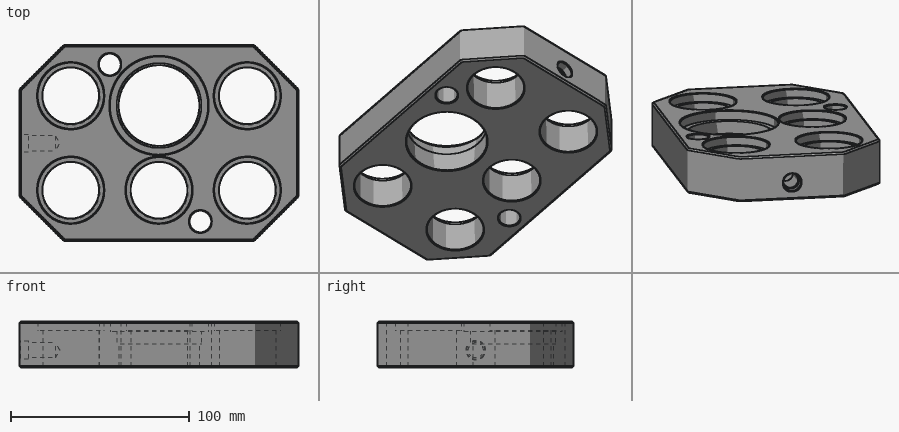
import cadquery as cq
import math

LENGTH = 156.5
WIDTH = 110.0
HEIGHT = 25.8
CORNER_CUT = 25.0
CORNER_RADIUS = 2.8
EDGE_CHAMFER = 1.0
RIM_CHAMFER = 0.5

COLUMN_PITCH = 49.5
ROW_OFFSET = 26.5
SEAT_DIAMETER = 37.0
SEAT_DEPTH = 5.0
BORE_DIAMETER = 31.6

LARGE_OFFSET = 21.0
LARGE_SEAT_DIAMETER = 55.0
LARGE_SEAT_DEPTH = 5.5
LARGE_STEP_DIAMETER = 47.5
LARGE_STEP_DEPTH = 12.5
LARGE_BORE_DIAMETER = 45.0

PIN_DIAMETER = 12.0
PIN_POSITIONS = [(-27.5, 44.0), (23.2, -44.0)]

SIDE_HOLE_HEIGHT = 9.9
SIDE_MOUTH_DIAMETER = 11.0
SIDE_ENTRY_DIAMETER = 10.0
SIDE_ENTRY_DEPTH = 5.0
SIDE_DRILL_DIAMETER = 8.5
SIDE_DRILL_DEPTH = 20.0
DRILL_POINT_ANGLE = 118.0


def make_plate():
    """Octagonal plate with rounded vertical edges and bevelled faces."""
    plate = cq.Workplane("XY").box(LENGTH, WIDTH, HEIGHT, centered=(True, True, False))
    plate = plate.edges("|Z").chamfer(CORNER_CUT)
    plate = plate.edges("|Z").fillet(CORNER_RADIUS)
    return plate.faces("<Z or >Z").edges().chamfer(EDGE_CHAMFER)


def make_stepped_cutter(x, y, steps):
    """Vertical cutter from (diameter, bottom Z) steps, widest first, with both mouths bevelled."""
    top_mouth_radius = steps[0][0] / 2 + RIM_CHAMFER
    bottom_mouth_radius = steps[-1][0] / 2 + RIM_CHAMFER
    profile = cq.Workplane("XZ").moveTo(0, HEIGHT).lineTo(top_mouth_radius, HEIGHT)
    top = HEIGHT - RIM_CHAMFER
    for diameter, bottom in steps:
        profile = profile.lineTo(diameter / 2, top).lineTo(diameter / 2, bottom)
        top = bottom
    profile = profile.lineTo(bottom_mouth_radius, 0).lineTo(0, 0).close()
    cutter = profile.revolve(360, (0, 0, 0), (0, 1, 0))
    return cutter.translate((x, y, 0))


def make_side_cutter():
    """Blind drilled hole along +X with a wider, bevelled entry and a conical end."""
    face = -LENGTH / 2
    mouth_radius = SIDE_MOUTH_DIAMETER / 2
    entry_radius = SIDE_ENTRY_DIAMETER / 2
    drill_radius = SIDE_DRILL_DIAMETER / 2
    drill_end = face + SIDE_DRILL_DEPTH
    point_length = drill_radius / math.tan(math.radians(DRILL_POINT_ANGLE / 2))
    profile = (
        cq.Workplane("XZ")
        .moveTo(face, 0)
        .lineTo(face, mouth_radius)
        .lineTo(face + mouth_radius - entry_radius, entry_radius)
        .lineTo(face + SIDE_ENTRY_DEPTH, entry_radius)
        .lineTo(face + SIDE_ENTRY_DEPTH, drill_radius)
        .lineTo(drill_end, drill_radius)
        .lineTo(drill_end + point_length, 0)
        .close()
    )
    cutter = profile.revolve(360, (0, 0, 0), (1, 0, 0))
    return cutter.translate((0, 0, SIDE_HOLE_HEIGHT))


result = make_plate()

seat_steps = [(SEAT_DIAMETER, HEIGHT - SEAT_DEPTH), (BORE_DIAMETER, RIM_CHAMFER)]
seat_positions = [
    (-COLUMN_PITCH, ROW_OFFSET),
    (COLUMN_PITCH, ROW_OFFSET),
    (-COLUMN_PITCH, -ROW_OFFSET),
    (0, -ROW_OFFSET),
    (COLUMN_PITCH, -ROW_OFFSET),
]
for x, y in seat_positions:
    result = result.cut(make_stepped_cutter(x, y, seat_steps))

large_steps = [
    (LARGE_SEAT_DIAMETER, HEIGHT - LARGE_SEAT_DEPTH),
    (LARGE_STEP_DIAMETER, HEIGHT - LARGE_STEP_DEPTH),
    (LARGE_BORE_DIAMETER, RIM_CHAMFER),
]
result = result.cut(make_stepped_cutter(0, LARGE_OFFSET, large_steps))

for x, y in PIN_POSITIONS:
    result = result.cut(make_stepped_cutter(x, y, [(PIN_DIAMETER, RIM_CHAMFER)]))

result = result.cut(make_side_cutter())